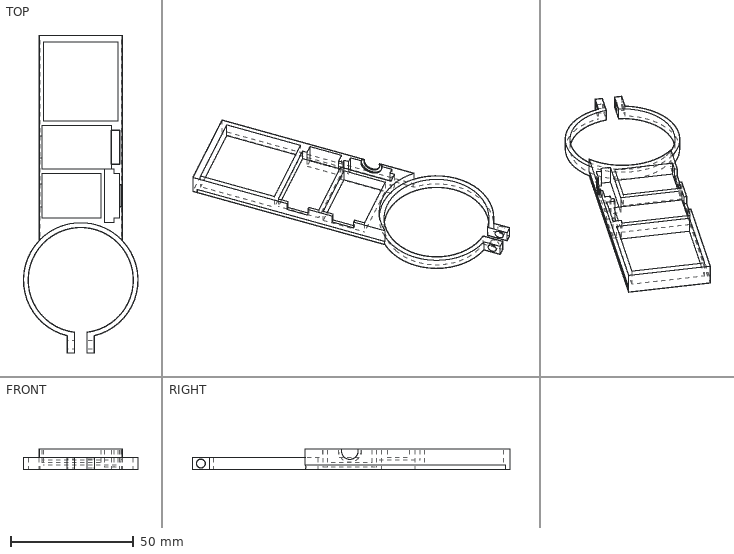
import cadquery as cq
import math

ring_outer_radius = 23.48
ring_inner_radius = 21.5
ring_height = 5.0

total_length = 130.1
clamp_gap = 5.1
ear_thickness = 3.0
ear_hole_diameter = 3.5
ear_hole_end_distance = 3.5

tray_width = 34.1
tray_height = 8.5
tray_rear = 100.2
tray_half_width = tray_width / 2
ear_end = tray_rear - total_length

wall = 1.2
partition = 2.0
rear_pocket_width = 30.3
rear_pocket_length = 32.3
rear_wall = 2.7
rear_floor = 2.0
middle_pocket_width = 28.4
middle_pocket_length = 17.7
middle_floor = 3.9
window_length = 13.8
front_pocket_width = 24.0
front_pocket_length = 18.1
front_floor = 3.0
side_pocket_inner_x = 9.6
side_pocket_narrow_width = 4.0
side_pocket_floor = 1.0

notch_depth = 3.5
middle_notch_length = 9.0
front_notch_length = 9.4
round_notch_radius = 3.4
round_recess_radius = 4.5
round_recess_depth = 0.7
round_notch_center_z = 7.5

groove_height = 2.0
groove_depth = 0.4
groove_end_distance = 2.0

pocket_left = -tray_half_width + wall
pocket_right = tray_half_width - wall
rear_pocket_front = tray_rear - rear_wall - rear_pocket_length
middle_pocket_rear = rear_pocket_front - partition
middle_pocket_front = middle_pocket_rear - middle_pocket_length
middle_pocket_y = (middle_pocket_rear + middle_pocket_front) / 2
middle_pocket_right = pocket_left + middle_pocket_width
front_pocket_rear = middle_pocket_front - partition
front_pocket_front = front_pocket_rear - front_pocket_length
tray_front_corner = math.sqrt(ring_outer_radius**2 - tray_half_width**2)
front_pocket_y = (front_pocket_rear + front_pocket_front) / 2


def block(x_min, x_max, y_min, y_max, z_min, z_max):
    """Box given by its limits along each axis."""
    size = (x_max - x_min, y_max - y_min, z_max - z_min)
    return cq.Workplane("XY").box(*size, centered=False).translate((x_min, y_min, z_min))


def pocket(x_min, x_max, y_min, y_max, floor):
    """Cutter for a compartment open at the top of the tray."""
    return block(x_min, x_max, y_min, y_max, floor, tray_height)


def side_rod(radius, x_min, x_max, y, z):
    """Cylinder along X."""
    rod = cq.Workplane("YZ").center(y, z).circle(radius).extrude(x_max - x_min)
    return rod.translate((x_min, 0, 0))


def tray_body():
    body = block(-tray_half_width, tray_half_width, 0, tray_rear, 0, tray_height)
    return body.cut(cq.Workplane("XY").circle(ring_outer_radius).extrude(tray_height))


def compartments():
    rear = pocket(
        -rear_pocket_width / 2, rear_pocket_width / 2,
        rear_pocket_front, tray_rear - rear_wall, rear_floor,
    )
    middle = pocket(
        pocket_left, middle_pocket_right, middle_pocket_front, middle_pocket_rear, middle_floor
    )
    front = pocket(
        pocket_left, pocket_left + front_pocket_width,
        front_pocket_front, front_pocket_rear, front_floor,
    )
    return rear.union(middle).union(front)


def window():
    """Opening through the full height, beside the middle compartment."""
    return pocket(
        middle_pocket_right, pocket_right,
        middle_pocket_y - window_length / 2, middle_pocket_y + window_length / 2, 0,
    )


def side_pocket():
    """Stepped compartment beside the front one, open to the middle one."""
    narrow = pocket(
        side_pocket_inner_x, side_pocket_inner_x + side_pocket_narrow_width,
        front_pocket_front - partition, middle_pocket_front, side_pocket_floor,
    )
    wide = pocket(
        side_pocket_inner_x, pocket_right, front_pocket_front, front_pocket_rear, side_pocket_floor
    )
    return narrow.union(wide)


def left_notch(y, length):
    return pocket(
        -tray_half_width, pocket_left, y - length / 2, y + length / 2, tray_height - notch_depth
    )


def round_notch():
    """Round opening through the upper edge of the right wall, widened on the inner face."""
    opening = side_rod(
        round_notch_radius, pocket_right, tray_half_width,
        front_pocket_y, round_notch_center_z,
    )
    recess = side_rod(
        round_recess_radius, pocket_right, pocket_right + round_recess_depth,
        front_pocket_y, round_notch_center_z,
    )
    return opening.union(recess)


def grooves():
    left = (
        cq.Workplane("XZ")
        .moveTo(-tray_half_width, 0)
        .threePointArc(
            (-tray_half_width + groove_depth, groove_height / 2),
            (-tray_half_width, groove_height),
        )
        .close()
        .extrude(-(tray_rear - groove_end_distance - tray_front_corner))
        .translate((0, tray_front_corner, 0))
    )
    return left.union(left.mirror("YZ"))


def clamp():
    ring = cq.Workplane("XY").circle(ring_outer_radius).extrude(ring_height)
    ear_half_span = clamp_gap / 2 + ear_thickness
    ears = block(-ear_half_span, ear_half_span, ear_end, 0, 0, ring_height)
    bore = cq.Workplane("XY").circle(ring_inner_radius).extrude(ring_height)
    gap = block(-clamp_gap / 2, clamp_gap / 2, ear_end, 0, 0, ring_height)
    hole = side_rod(
        ear_hole_diameter / 2, -ear_half_span, ear_half_span,
        ear_end + ear_hole_end_distance, ring_height / 2,
    )
    return ring.union(ears).cut(bore).cut(gap).cut(hole)


tray = tray_body().cut(compartments()).cut(window()).cut(side_pocket())
tray = tray.cut(left_notch(middle_pocket_y, middle_notch_length))
tray = tray.cut(left_notch(front_pocket_y, front_notch_length))
tray = tray.cut(round_notch()).cut(grooves())
result = tray.union(clamp())